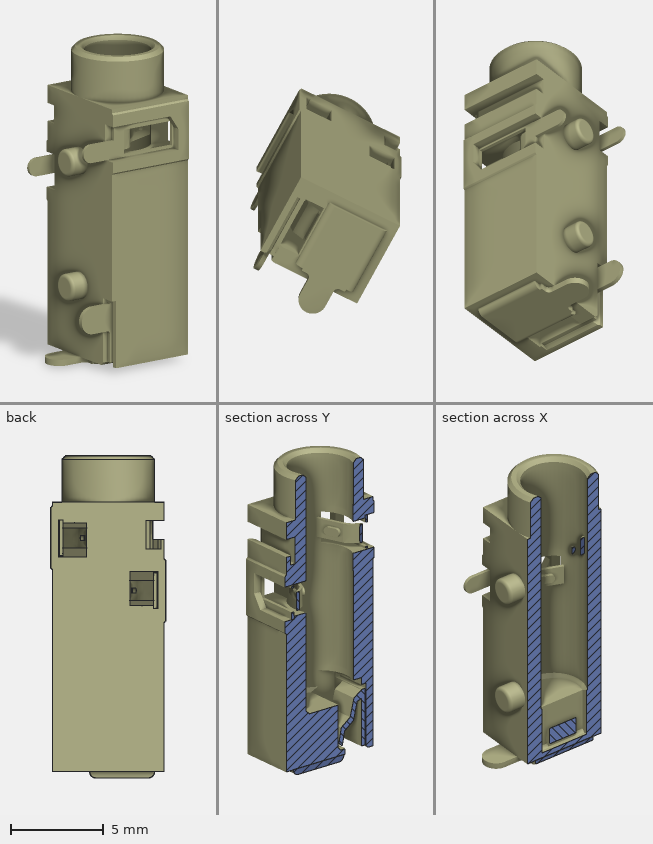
import cadquery as cq
import math


BLOCK_WIDTH = 6.0
BLOCK_DEPTH = 5.0
BLOCK_HEIGHT = 14.5
SIDE = BLOCK_WIDTH / 2
BACK = BLOCK_DEPTH / 2
FRONT = -BACK

BARREL_RADIUS = BLOCK_DEPTH / 2
BARREL_HEIGHT = 2.5
BARREL_CHAMFER = 0.2
BARREL_TOP = BLOCK_HEIGHT + BARREL_HEIGHT

BORE_RADIUS = 1.8
BORE_MOUTH_CHAMFER = 0.2
BORE_FLOOR = 3.0
BORE_FLOOR_CHAMFER = 0.2

PEG_RADIUS = 0.75
PEG_LENGTH = 1.0
PEG_FILLET = 0.19
PEG_HEIGHTS = (4.0, 10.98)

NOTCH_HEIGHT = 1.0
NOTCH_BOTTOM = BLOCK_HEIGHT - 2 * NOTCH_HEIGHT
NOTCH_DEPTH = 0.6
NOTCH_STEP_X = 0.14
NOTCH_STEP_Y = 0.25
NOTCH_FLAT_Y = 0.07
NOTCH_EDGE_X = 0.23
NOTCH_EDGE_Y = 0.17
GROOVE_OUTER = -2.67
GROOVE_FRONT = -2.36
GROOVE_DEPTH = 0.52
GROOVE_FLARE_X = 0.15
GROOVE_FLARE_Y = 0.26

TURN_HEIGHT = 11.15
PAD_HEIGHT = 0.095
PAD_BOTTOM = 8.02
PAD_TOP = 11.45

WINDOW_BOTTOM = 8.78
WINDOW_TOP = 10.75
WINDOW_BACK = 1.8
WINDOW_BEVEL_Y = 0.52
WINDOW_BEVEL_Z = 0.78
SLOT_OUTER = -2.67
SLOT_MOUTH_INNER = -2.36
CHAMBER_INNER = -1.16
CHAMBER_FRONT = -1.56
CHAMBER_FLOOR = 8.94

LEG_REACH = 1.6
LEG_END = FRONT - LEG_REACH
SIDE_PLATE_OUTER = -2.64
SIDE_PLATE_THICKNESS = 0.19
SIDE_PLATE_INNER = SIDE_PLATE_OUTER + SIDE_PLATE_THICKNESS
SIDE_PLATE_TOP = 10.7
SIDE_PLATE_FRONT = -2.1
SIDE_PLATE_BACK = 2.08
SIDE_LEG_WIDTH = 1.0
CUTOUT_FRONT = -1.44
CUTOUT_BACK = 1.72
CUTOUT_BOTTOM = 9.2
CUTOUT_TOP = 10.58
TONGUE_TOP = 10.29
TONGUE_BEND = (-1.6, -0.15)
TONGUE_TIP = (-1.0, 1.4)
DIMPLE_LENGTH = 0.75
DIMPLE_WIDTH = 0.28
DIMPLE_HEIGHT = 0.2
DIMPLE_WALL = 0.1
DIMPLE_ALONG = 0.62

TIP_PLATE_INNER = 2.19
TIP_PLATE_THICKNESS = 0.26
TIP_PLATE_OUTER = TIP_PLATE_INNER + TIP_PLATE_THICKNESS
TIP_PLATE_BOTTOM = 0.19
TIP_PLATE_TOP = 3.5
TIP_PLATE_BACK = 1.39
TIP_LEG_WIDTH = 1.5
TIP_LEG_BOTTOM = 1.96
TIP_LEG_FILLET = 0.17
TIP_SPRING_FRONT = -1.02
TIP_SPRING_BACK = 0.8
TIP_SPRING_FACE = (
    (TIP_PLATE_INNER, 3.47), (1.67, 3.12), (1.4, 2.08), (0.8, 1.63), (0.62, 0.78)
)
TIP_SPRING_DROP = 0.26

RECESS_HEIGHT = 3.76
RECESS_OUTER = 2.48
RECESS_STEP = 0.26
RECESS_BEVEL = 0.26
RECESS_LEAD_IN = 0.17

TIP_CAVITY_INNER = 0.59
TIP_CAVITY_HALF_DEPTH = 1.5
TIP_CAVITY_TOP = 4.16
TIP_LEDGE_EDGE = 1.1
TIP_LEDGE_TOP = 0.35
TIP_LEDGE_BEVEL = 0.17

BOTTOM_THICKNESS = 0.35
BOTTOM_CENTER = -0.75
BOTTOM_WIDTH = 3.5
BOTTOM_BACK = 1.95
BOTTOM_FRONT = -1.96
SHOULDER_WIDTH = 2.62
SHOULDER_LENGTH = 0.14
SHOULDER_FILLET = 0.26
BOTTOM_LEG_WIDTH = 1.53

CUT_MARGIN = 0.17


def box(x0, x1, y0, y1, z0, z1):
    """Box between opposite corners."""
    return cq.Workplane("XY").box(x1 - x0, y1 - y0, z1 - z0, centered=False).translate((x0, y0, z0))


def turned_over(shape):
    """Shape turned half a turn, from the left side to the right side."""
    return shape.rotate((0, 0, TURN_HEIGHT), (0, 1, TURN_HEIGHT), 180)


def upright_leg(x_inner, thickness, y_start, z_bottom, width):
    """Flat leg in a YZ plane, running to the front and ending in a half circle."""
    radius = width / 2
    y_arc = LEG_END + radius
    return (
        cq.Workplane("YZ", origin=(x_inner, 0, 0))
        .moveTo(y_start, z_bottom)
        .lineTo(y_arc, z_bottom)
        .threePointArc((LEG_END, z_bottom + radius), (y_arc, z_bottom + width))
        .lineTo(y_start, z_bottom + width)
        .close()
        .extrude(thickness)
    )


def side_pad():
    """Raised band with 45 degree edges on the left side."""
    profile = [
        (-SIDE, PAD_BOTTOM),
        (-SIDE - PAD_HEIGHT, PAD_BOTTOM + PAD_HEIGHT),
        (-SIDE - PAD_HEIGHT, PAD_TOP - PAD_HEIGHT),
        (-SIDE, PAD_TOP),
    ]
    return cq.Workplane("XZ", origin=(0, BACK, 0)).polyline(profile).close().extrude(BLOCK_DEPTH)


def side_opening():
    """Window, plate slot with its wider mouth, and spring chamber for the left contact."""
    x_outside = -SIDE - CUT_MARGIN
    y_outside = FRONT - CUT_MARGIN
    window_outline = [
        (y_outside, WINDOW_BOTTOM),
        (y_outside, WINDOW_TOP),
        (WINDOW_BACK, WINDOW_TOP),
        (WINDOW_BACK, WINDOW_BOTTOM + WINDOW_BEVEL_Z),
        (WINDOW_BACK - WINDOW_BEVEL_Y, WINDOW_BOTTOM),
    ]
    window = (
        cq.Workplane("YZ", origin=(x_outside, 0, 0))
        .polyline(window_outline)
        .close()
        .extrude(SLOT_OUTER - x_outside)
    )
    y_behind = BACK + CUT_MARGIN
    slot = box(SLOT_OUTER, SIDE_PLATE_INNER, y_outside, y_behind, WINDOW_BOTTOM, WINDOW_TOP)
    mouth = box(SLOT_OUTER, SLOT_MOUTH_INNER, y_outside, SIDE_PLATE_FRONT, WINDOW_BOTTOM, WINDOW_TOP)
    chamber = box(SIDE_PLATE_INNER, CHAMBER_INNER, CHAMBER_FRONT, y_behind, CHAMBER_FLOOR, WINDOW_TOP)
    return window.union(slot).union(mouth).union(chamber)


def plug_bore():
    """Blind bore, flared at the barrel mouth and narrowed at its floor."""
    profile = [
        (0, BORE_FLOOR),
        (BORE_RADIUS - BORE_FLOOR_CHAMFER, BORE_FLOOR),
        (BORE_RADIUS, BORE_FLOOR + BORE_FLOOR_CHAMFER),
        (BORE_RADIUS, BARREL_TOP - BORE_MOUTH_CHAMFER),
        (BORE_RADIUS + BORE_MOUTH_CHAMFER, BARREL_TOP),
        (0, BARREL_TOP),
    ]
    return cq.Workplane("XZ").polyline(profile).close().revolve(360, (0, 0, 0), (0, 1, 0))


def notch_floor_outline():
    """X, Y points of the notch floor from the front to its stepped back corner."""
    x_floor = -SIDE + NOTCH_DEPTH
    x_flat = x_floor + NOTCH_STEP_X
    y_edge = BACK - NOTCH_EDGE_Y
    y_flat = y_edge - NOTCH_FLAT_Y
    return [
        (x_floor, FRONT),
        (x_floor, y_flat - NOTCH_STEP_Y),
        (x_flat, y_flat),
        (x_flat, y_edge),
        (x_flat + NOTCH_EDGE_X, BACK),
    ]


def side_notch():
    """Notch across the left side, running deeper toward the back."""
    x_outside = -SIDE - CUT_MARGIN
    outline = [(x_outside, FRONT), *notch_floor_outline(), (x_outside, BACK)]
    return (
        cq.Workplane("XY", origin=(0, 0, NOTCH_BOTTOM))
        .polyline(outline)
        .close()
        .extrude(NOTCH_HEIGHT)
    )


def notch_groove():
    """Groove in the lower ledge of the notch, closed at the front and flared at the back."""
    front_end, *floor = notch_floor_outline()
    outline = [
        (front_end[0], GROOVE_FRONT),
        *floor,
        (GROOVE_OUTER - GROOVE_FLARE_X, BACK),
        (GROOVE_OUTER, BACK - GROOVE_FLARE_Y),
        (GROOVE_OUTER, GROOVE_FRONT),
    ]
    return (
        cq.Workplane("XY", origin=(0, 0, NOTCH_BOTTOM - GROOVE_DEPTH))
        .polyline(outline)
        .close()
        .extrude(GROOVE_DEPTH)
    )


def tip_recess():
    """Corner recess for the tip contact, with a lead-in at the bottom."""
    x_bevel = RECESS_OUTER + RECESS_BEVEL
    y_step = FRONT + RECESS_STEP
    x_outside = SIDE + CUT_MARGIN
    y_outside = FRONT - CUT_MARGIN
    outline = [
        (TIP_PLATE_INNER, y_outside),
        (x_outside, y_outside),
        (x_outside, y_step),
        (x_bevel, y_step),
        (RECESS_OUTER, y_step + RECESS_BEVEL),
        (RECESS_OUTER, TIP_PLATE_BACK),
        (TIP_PLATE_INNER, TIP_PLATE_BACK),
    ]
    recess = cq.Workplane("XY").polyline(outline).close().extrude(RECESS_HEIGHT)
    lead_in_profile = [
        (TIP_PLATE_INNER - RECESS_LEAD_IN, 0),
        (TIP_PLATE_INNER, RECESS_LEAD_IN),
        (RECESS_OUTER, RECESS_LEAD_IN),
        (RECESS_OUTER + RECESS_LEAD_IN, 0),
    ]
    lead_in = (
        cq.Workplane("XZ", origin=(0, TIP_PLATE_BACK, 0))
        .polyline(lead_in_profile)
        .close()
        .extrude(TIP_PLATE_BACK - FRONT)
    )
    return recess.union(lead_in)


def tip_cavity():
    """Room for the tip spring beside the bore floor, open at the bottom past a ledge."""
    half = TIP_CAVITY_HALF_DEPTH
    profile = [
        (TIP_CAVITY_INNER, TIP_CAVITY_TOP),
        (TIP_CAVITY_INNER, TIP_LEDGE_TOP + TIP_LEDGE_BEVEL),
        (TIP_CAVITY_INNER + TIP_LEDGE_BEVEL, TIP_LEDGE_TOP),
        (TIP_LEDGE_EDGE, TIP_LEDGE_TOP),
        (TIP_LEDGE_EDGE, 0),
        (TIP_PLATE_INNER, 0),
        (TIP_PLATE_INNER, TIP_CAVITY_TOP),
    ]
    return cq.Workplane("XZ", origin=(0, half, 0)).polyline(profile).close().extrude(2 * half)


def peg(height):
    """Locating peg on the front face, with a rounded rim."""
    return (
        cq.Workplane("XZ", origin=(0, FRONT, height))
        .circle(PEG_RADIUS)
        .extrude(PEG_LENGTH)
        .faces("<Y")
        .edges()
        .fillet(PEG_FILLET)
    )


def make_housing():
    block = box(-SIDE, SIDE, FRONT, BACK, 0, BLOCK_HEIGHT)
    barrel = (
        cq.Workplane("XY", origin=(0, 0, BLOCK_HEIGHT))
        .circle(BARREL_RADIUS)
        .extrude(BARREL_HEIGHT)
        .faces(">Z")
        .edges()
        .chamfer(BARREL_CHAMFER)
    )
    body = block.union(barrel).union(side_pad()).union(turned_over(side_pad()))
    for height in PEG_HEIGHTS:
        body = body.union(peg(height))
    opening = side_opening()
    for cutter in (
        plug_bore(),
        side_notch(),
        notch_groove(),
        opening,
        turned_over(opening),
        tip_recess(),
        tip_cavity(),
    ):
        body = body.cut(cutter)
    return body


def spring_tongue():
    """Tongue bent out of the plate: an S-bend, then a straight inclined part with a dimple."""
    run_x = TONGUE_TIP[0] - TONGUE_BEND[0]
    run_y = TONGUE_TIP[1] - TONGUE_BEND[1]
    length = math.hypot(run_x, run_y)
    direction = (run_x / length, run_y / length)
    normal = (direction[1], -direction[0])
    shift = (normal[0] * SIDE_PLATE_THICKNESS, normal[1] * SIDE_PLATE_THICKNESS)
    tip_inner = (TONGUE_TIP[0] + shift[0], TONGUE_TIP[1] + shift[1])
    bend_inner = (TONGUE_BEND[0] + shift[0], TONGUE_BEND[1] + shift[1])

    strip = (
        cq.Workplane("XY", origin=(0, 0, CUTOUT_BOTTOM))
        .moveTo(SIDE_PLATE_OUTER, CUTOUT_FRONT)
        .spline([TONGUE_BEND], tangents=[(0, 1), direction], includeCurrent=True)
        .lineTo(*TONGUE_TIP)
        .lineTo(*tip_inner)
        .lineTo(*bend_inner)
        .spline([(SIDE_PLATE_INNER, CUTOUT_FRONT)],
                tangents=[(-direction[0], -direction[1]), (0, -1)], includeCurrent=True)
        .close()
        .extrude(TONGUE_TOP - CUTOUT_BOTTOM)
    )

    dimple_plane = cq.Plane(
        origin=(
            TONGUE_BEND[0] + direction[0] * DIMPLE_ALONG,
            TONGUE_BEND[1] + direction[1] * DIMPLE_ALONG,
            (CUTOUT_BOTTOM + TONGUE_TOP) / 2,
        ),
        xDir=(direction[0], direction[1], 0),
        normal=(normal[0], normal[1], 0),
    )
    boss = cq.Workplane(dimple_plane).slot2D(
        DIMPLE_LENGTH + 2 * DIMPLE_WALL, DIMPLE_WIDTH + 2 * DIMPLE_WALL
    ).extrude(SIDE_PLATE_THICKNESS + DIMPLE_HEIGHT)
    hollow = cq.Workplane(dimple_plane).slot2D(DIMPLE_LENGTH, DIMPLE_WIDTH).extrude(DIMPLE_HEIGHT)
    return strip.union(boss).cut(hollow)


def make_side_contact():
    """Left side contact: plate with a cutout, its tongue and its leg."""
    plate = box(SIDE_PLATE_OUTER, SIDE_PLATE_INNER, SIDE_PLATE_FRONT, SIDE_PLATE_BACK,
                WINDOW_BOTTOM, SIDE_PLATE_TOP)
    cutout = box(SIDE_PLATE_OUTER, SIDE_PLATE_INNER, CUTOUT_FRONT, CUTOUT_BACK,
                 CUTOUT_BOTTOM, CUTOUT_TOP)
    leg = upright_leg(SIDE_PLATE_OUTER, SIDE_PLATE_THICKNESS, SIDE_PLATE_FRONT,
                      SIDE_PLATE_TOP - SIDE_LEG_WIDTH, SIDE_LEG_WIDTH)
    return plate.cut(cutout).union(leg).union(spring_tongue())


def make_tip_contact():
    """Plate and leg in the corner recess, with a spring running down and inward."""
    plate = box(TIP_PLATE_INNER, TIP_PLATE_OUTER, FRONT + RECESS_STEP, TIP_PLATE_BACK,
                TIP_PLATE_BOTTOM, TIP_PLATE_TOP)
    leg = upright_leg(TIP_PLATE_INNER, TIP_PLATE_THICKNESS, FRONT + RECESS_STEP,
                      TIP_LEG_BOTTOM, TIP_LEG_WIDTH)
    underside = [
        (TIP_SPRING_FACE[0][0], TIP_SPRING_FACE[0][1] - 2 * TIP_SPRING_DROP),
        *[(x + TIP_SPRING_DROP, z - TIP_SPRING_DROP) for x, z in TIP_SPRING_FACE[1:]],
    ]
    spring = (
        cq.Workplane("XZ", origin=(0, TIP_SPRING_BACK, 0))
        .polyline([*TIP_SPRING_FACE, *reversed(underside)])
        .close()
        .extrude(TIP_SPRING_BACK - TIP_SPRING_FRONT)
    )
    leg_root = ((TIP_PLATE_INNER + TIP_PLATE_OUTER) / 2, FRONT + RECESS_STEP, TIP_LEG_BOTTOM)
    blade = plate.union(leg).edges(cq.NearestToPointSelector(leg_root)).fillet(TIP_LEG_FILLET)
    return blade.union(spring)


def make_bottom_contact():
    """Plate with rounded sides under the block, shouldered down to a round-ended leg."""
    half = BOTTOM_WIDTH / 2
    foot = half - BOTTOM_THICKNESS
    plate = (
        cq.Workplane("XZ", origin=(BOTTOM_CENTER, BOTTOM_BACK, 0))
        .moveTo(-half, 0)
        .lineTo(half, 0)
        .radiusArc((foot, -BOTTOM_THICKNESS), BOTTOM_THICKNESS)
        .lineTo(-foot, -BOTTOM_THICKNESS)
        .radiusArc((-half, 0), BOTTOM_THICKNESS)
        .close()
        .extrude(BOTTOM_BACK - BOTTOM_FRONT)
    )
    shoulder_y = BOTTOM_FRONT - SHOULDER_LENGTH
    shoulder_half = SHOULDER_WIDTH / 2
    leg_half = BOTTOM_LEG_WIDTH / 2
    fillet_y = shoulder_y - SHOULDER_FILLET
    fillet_x = leg_half + SHOULDER_FILLET
    arc_y = LEG_END + leg_half
    leg = (
        cq.Workplane("XY", origin=(BOTTOM_CENTER, 0, -BOTTOM_THICKNESS))
        .moveTo(-shoulder_half, BOTTOM_FRONT)
        .lineTo(-shoulder_half, shoulder_y)
        .lineTo(-fillet_x, shoulder_y)
        .radiusArc((-leg_half, fillet_y), SHOULDER_FILLET)
        .lineTo(-leg_half, arc_y)
        .threePointArc((0, LEG_END), (leg_half, arc_y))
        .lineTo(leg_half, fillet_y)
        .radiusArc((fillet_x, shoulder_y), SHOULDER_FILLET)
        .lineTo(shoulder_half, shoulder_y)
        .lineTo(shoulder_half, BOTTOM_FRONT)
        .close()
        .extrude(BOTTOM_THICKNESS)
    )
    return plate.union(leg)


housing = make_housing()
left_contact = make_side_contact()
side_contacts = [left_contact, turned_over(left_contact)]
tip_contact = make_tip_contact()
bottom_contact = make_bottom_contact()

result = cq.Compound.makeCompound([
    housing.val(),
    *[contact.val() for contact in side_contacts],
    tip_contact.val(),
    bottom_contact.val(),
])